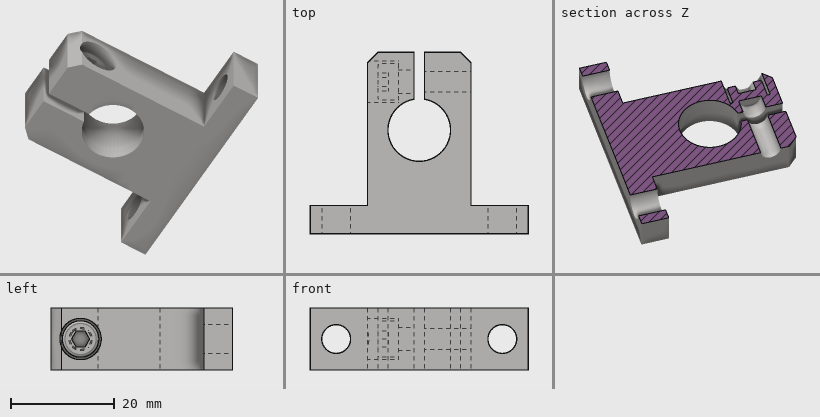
import cadquery as cq

flange_length = 42.0
flange_thickness = 5.5
overall_height = 35.0
depth = 12.0
body_width = 20.0
corner_chamfer = 2.0
mount_hole_diameter = 5.5
mount_hole_spacing = 32.0

bore_diameter = 12.0
bore_height = 20.0
slot_width = 2.0

screw_to_top = 5.7
counterbore_diameter = 8.0
counterbore_depth = 6.0
clearance_diameter = 4.5
thread_diameter = 4.0
head_diameter = 7.0
head_height = 4.0
head_edge_radius = 0.5
socket_across_corners = 3.5
socket_depth = 2.0

body_side = body_width / 2
screw_y = overall_height - screw_to_top
head_seat_x = -body_side + counterbore_depth
head_top_x = head_seat_x - head_height


def screw_plane(x):
    """Plane centred on the screw axis, facing +X."""
    return cq.Workplane("YZ", origin=(x, screw_y, 0))


def make_bracket():
    flange = cq.Workplane("XY").box(
        flange_length, flange_thickness, depth, centered=(True, False, True)
    )
    body = (
        cq.Workplane("XY")
        .box(body_width, overall_height, depth, centered=(True, False, True))
        .edges("|Z and >Y")
        .chamfer(corner_chamfer)
    )
    bore = (
        cq.Workplane("XY")
        .center(0, bore_height)
        .circle(bore_diameter / 2)
        .extrude(depth / 2, both=True)
    )
    slot = (
        cq.Workplane("XY")
        .box(slot_width, overall_height - bore_height, depth, centered=(True, False, True))
        .translate((0, bore_height, 0))
    )
    mount_holes = (
        cq.Workplane("XZ")
        .pushPoints([(-mount_hole_spacing / 2, 0), (mount_hole_spacing / 2, 0)])
        .circle(mount_hole_diameter / 2)
        .extrude(-flange_thickness)
    )
    return flange.union(body).cut(bore).cut(slot).cut(mount_holes)


def make_screw_hole():
    """Counterbore in the -X jaw with its clearance hole, and the threaded hole of the +X jaw."""
    counterbore = (
        screw_plane(-body_side).circle(counterbore_diameter / 2).extrude(counterbore_depth)
    )
    clearance = screw_plane(-body_side).circle(clearance_diameter / 2).extrude(body_side)
    threaded = screw_plane(0).circle(thread_diameter / 2).extrude(body_side)
    return counterbore.union(clearance).union(threaded)


def make_screw_head():
    """Socket head resting on the floor of the counterbore."""
    head = (
        screw_plane(head_top_x)
        .circle(head_diameter / 2)
        .extrude(head_height)
        .edges("<X")
        .fillet(head_edge_radius)
    )
    socket = screw_plane(head_top_x).polygon(6, socket_across_corners).extrude(socket_depth)
    return head.cut(socket)


result = make_bracket().cut(make_screw_hole()).union(make_screw_head())